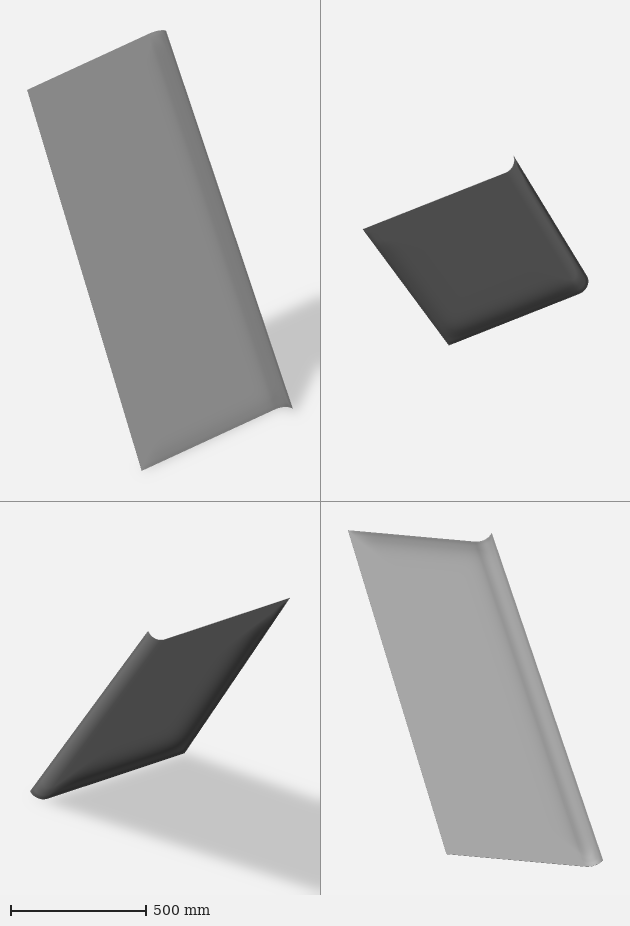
import cadquery as cq
import math

SLOPE_ANGLE = 58.28
SHEET_LENGTH = 1602.0
TOP_END_WIDTH = 520.0
WIDTH_GAIN = 49.1
BEND_OUTER_RADIUS = 50.0
LIP_OVERHANG = 4.9
SHEET_THICKNESS = 1.5
TRIM_ALLOWANCE = 50.0

BEND_SKEW = math.atan2(WIDTH_GAIN, SHEET_LENGTH)
BEND_INNER_RADIUS = BEND_OUTER_RADIUS - SHEET_THICKNESS
BEND_LENGTH = SHEET_LENGTH / math.cos(BEND_SKEW)
BOTTOM_END_WIDTH = TOP_END_WIDTH + WIDTH_GAIN



def make_flat_sheet():
    """Flat panel that widens toward the lower end."""
    return (
        cq.Workplane("XY")
        .moveTo(0, 0)
        .lineTo(SHEET_LENGTH, 0)
        .lineTo(SHEET_LENGTH, BOTTOM_END_WIDTH)
        .lineTo(0, TOP_END_WIDTH)
        .close()
        .extrude(SHEET_THICKNESS)
    )


def make_curled_edge():
    """Quarter-round lip along the bend line, tangent to the sheet, with ends that flare outward."""
    bend_direction = (math.cos(BEND_SKEW), math.sin(BEND_SKEW), 0)
    outward_direction = (-math.sin(BEND_SKEW), math.cos(BEND_SKEW), 0)
    section_origin = (
        -TRIM_ALLOWANCE * math.cos(BEND_SKEW),
        TOP_END_WIDTH - TRIM_ALLOWANCE * math.sin(BEND_SKEW),
        0,
    )
    section_plane = cq.Plane(
        origin=section_origin,
        xDir=outward_direction,
        normal=bend_direction,
    )
    cos_45 = math.sqrt(0.5)
    outer_middle = (
        BEND_OUTER_RADIUS * cos_45,
        BEND_OUTER_RADIUS * (1 - cos_45),
    )
    inner_middle = (
        BEND_INNER_RADIUS * cos_45,
        BEND_OUTER_RADIUS - BEND_INNER_RADIUS * cos_45,
    )
    long_lip = (
        cq.Workplane(section_plane)
        .moveTo(0, 0)
        .threePointArc(outer_middle, (BEND_OUTER_RADIUS, BEND_OUTER_RADIUS))
        .lineTo(BEND_INNER_RADIUS, BEND_OUTER_RADIUS)
        .threePointArc(inner_middle, (0, SHEET_THICKNESS))
        .close()
        .extrude(BEND_LENGTH + 2 * TRIM_ALLOWANCE)
    )
    end_trim = (
        cq.Workplane("XZ")
        .moveTo(0, 0)
        .lineTo(SHEET_LENGTH, 0)
        .lineTo(SHEET_LENGTH + LIP_OVERHANG, BEND_OUTER_RADIUS)
        .lineTo(-LIP_OVERHANG, BEND_OUTER_RADIUS)
        .close()
        .extrude(-2 * BOTTOM_END_WIDTH)
    )
    return long_lip.intersect(end_trim)


flat_part = make_flat_sheet().union(make_curled_edge())
result = flat_part.rotate((0, 0, 0), (0, 1, 0), SLOPE_ANGLE)